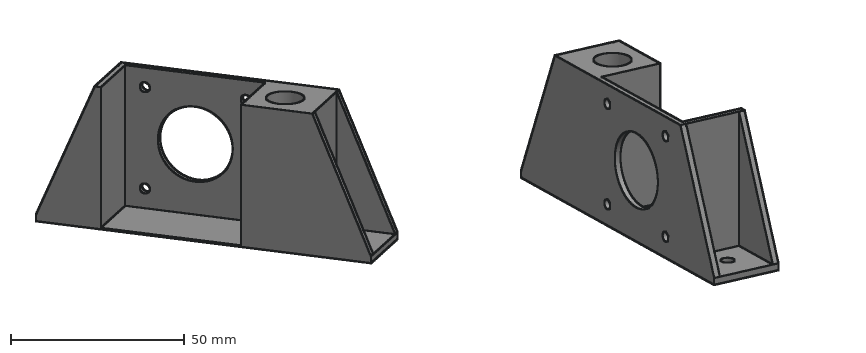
import cadquery as cq

length = 103.0
width = 22.0
height = 43.6

wall = 2.0
foot_length = 18.0
foot_thickness = 2.2

bay_size = 43.1
bay_floor = 0.5
bay_left = foot_length + wall
bay_right = bay_left + bay_size

motor_bore_diameter = 23.0
motor_screw_diameter = 3.0
motor_screw_spacing = 31.0

rod_diameter = 11.0
rod_x = 72.9
rod_y = 10.0
foot_hole_diameter = 4.0
foot_hole_inset = 10.0


def box(x_min, x_max, y_min, y_max, z_min, z_max):
    """Axis-aligned box between the given limits."""
    size = (x_max - x_min, y_max - y_min, z_max - z_min)
    return cq.Workplane("XY").box(*size, centered=False).translate((x_min, y_min, z_min))


def vertical_hole(x, y, diameter):
    """Cutter for a hole through the full height."""
    return cq.Workplane("XY").center(x, y).circle(diameter / 2).extrude(height)


def body():
    """Solid with sloping ends above the foot plates."""
    outline = [
        (0, 0),
        (length, 0),
        (length, foot_thickness),
        (length - foot_length, height),
        (foot_length, height),
        (0, foot_thickness),
    ]
    return cq.Workplane("XZ").polyline(outline).close().extrude(-width)


def motor_holes():
    """Central bore and four screw holes through the back wall of the bay."""
    face = cq.Workplane("XZ").center(bay_left + bay_size / 2, bay_floor + bay_size / 2)
    bore = face.circle(motor_bore_diameter / 2).extrude(-width)
    screws = (
        face.rect(motor_screw_spacing, motor_screw_spacing, forConstruction=True)
        .vertices()
        .circle(motor_screw_diameter / 2)
        .extrude(-width)
    )
    return bore.union(screws)


result = body()

for x_min, x_max in ((0, foot_length), (length - foot_length, length)):
    result = result.cut(box(x_min, x_max, wall, width - wall, foot_thickness, height))

result = result.cut(box(bay_left, bay_right, 0, width - wall, bay_floor, height))
result = result.cut(motor_holes())

result = result.cut(vertical_hole(rod_x, rod_y, rod_diameter))
for foot_hole_x in (foot_hole_inset, length - foot_hole_inset):
    result = result.cut(vertical_hole(foot_hole_x, width / 2, foot_hole_diameter))